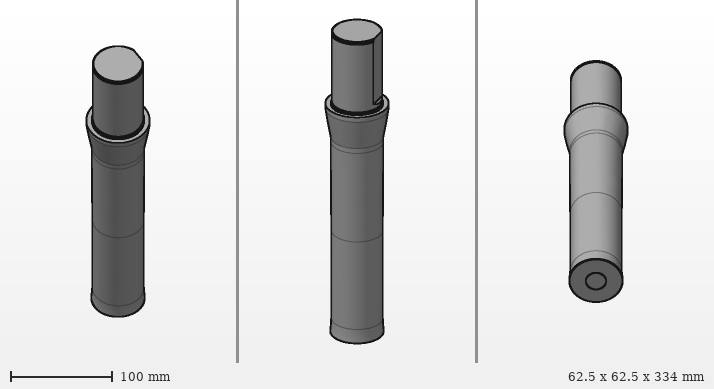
import cadquery as cq
import math

tube_diameter = 52.0
barrel_diameter = 51.0
flange_diameter = 62.5
neck_diameter = 53.8
foot_diameter = 53.0
boss_diameter = 20.0

boss_height = 1.0
foot_chamfer = 0.7
foot_top = 16.7
grip_bottom = 113.5
grip_top = 211.8
collar_bottom = 217.0
neck_height = 222.5
rim_bottom = 248.8
flange_top = 254.0

mouth_diameter = 51.0
mouth_depth = 1.7
mouth_chamfer = (tube_diameter - mouth_diameter) / 2
socket_depth = 16.7
socket_floor = flange_top - socket_depth

total_height = 334.0
shaft_diameter = 50.0
shaft_chamfer = 1.0
groove_diameter = 49.5
groove_width = 1.5
upper_groove_bottom = 331.0
lower_groove_bottom = 255.0
flat_offset = 22.7
flat_bottom = 258.0
run_out = 2.0


def cylinder(diameter, bottom, top):
    return cq.Workplane("XY").workplane(offset=bottom).circle(diameter / 2).extrude(top - bottom)


def make_housing():
    tube = tube_diameter / 2
    foot = foot_diameter / 2
    flange = flange_diameter / 2
    barrel = barrel_diameter / 2

    collar_slope = (flange - neck_diameter / 2, rim_bottom - neck_height)
    collar_curve = [(neck_diameter / 2, neck_height), (flange, rim_bottom)]

    flare_height = foot_top - boss_height - foot_chamfer
    flare_radius = (flare_height**2 + (foot - barrel)**2) / (2 * (foot - barrel))
    flare_angle = math.asin(flare_height / flare_radius) / 2
    flare_middle = (
        barrel + flare_radius * (1 - math.cos(flare_angle)),
        foot_top - flare_radius * math.sin(flare_angle),
    )

    outline = (
        cq.Workplane("XZ")
        .moveTo(0, 0)
        .lineTo(boss_diameter / 2, 0)
        .lineTo(boss_diameter / 2, boss_height)
        .lineTo(foot - foot_chamfer, boss_height)
        .lineTo(foot, boss_height + foot_chamfer)
        .threePointArc(flare_middle, (barrel, foot_top))
        .lineTo(barrel, grip_bottom)
        .lineTo(tube, grip_top)
        .lineTo(tube, collar_bottom)
        .spline(collar_curve, tangents=[(0, 1), collar_slope], includeCurrent=True)
        .lineTo(flange, flange_top)
        .lineTo(0, flange_top)
        .close()
    )
    body = outline.revolve(360, (0, 0, 0), (0, 1, 0))

    body = body.cut(cylinder(shaft_diameter, socket_floor, flange_top))
    body = body.cut(cylinder(mouth_diameter, flange_top - mouth_depth, flange_top))
    mouth_edge = cq.selectors.RadiusNthSelector(-2)
    return body.faces(">Z").edges(mouth_edge).chamfer(mouth_chamfer)


def make_groove(bottom):
    top = bottom + groove_width
    return cylinder(shaft_diameter, bottom, top).cut(cylinder(groove_diameter, bottom, top))


def make_flat_cutter():
    outer = shaft_diameter / 2 + run_out
    ramp_rise = outer - flat_offset
    return (
        cq.Workplane("YZ")
        .moveTo(flat_offset, total_height)
        .lineTo(flat_offset, flat_bottom + ramp_rise)
        .lineTo(outer, flat_bottom)
        .lineTo(outer, total_height)
        .close()
        .extrude(shaft_diameter / 2, both=True)
    )


def make_shaft():
    body = cylinder(shaft_diameter, socket_floor, total_height)
    body = body.faces(">Z").chamfer(shaft_chamfer)
    for bottom in (lower_groove_bottom, upper_groove_bottom):
        body = body.cut(make_groove(bottom))
    return body.cut(make_flat_cutter())


housing = make_housing()
shaft = make_shaft()
result = cq.Compound.makeCompound([housing.val(), shaft.val()])